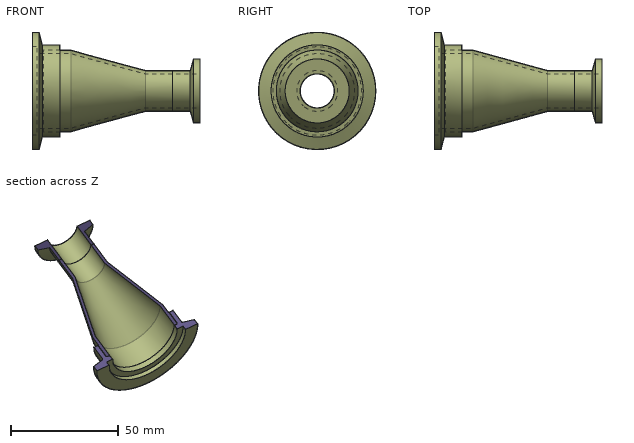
import cadquery as cq

total_length = 78.3
wall = 1.65

large_tube_radius = 19.1
small_tube_radius = 9.55
tube_start = 5.1
cone_start = 17.9
cone_end = 52.9
tube_end = 65.5
large_bore_radius = large_tube_radius - wall
small_bore_radius = small_tube_radius - wall

large_flange_radius = 27.4
large_rim_width = 3.1
collar_radius = 21.55
collar_start = 4.6
collar_end = 12.85
recess_radius = 20.7
recess_depth = 2.2

small_flange_radius = 15.0
small_rim_width = 3.05
small_taper_width = 1.6


def turn(profile):
    """Revolve a closed list of (x, radius) points about the X axis."""
    return cq.Workplane("XY").polyline(profile).close().revolve(360, (0, 0), (1, 0))


def make_large_flange():
    """Flange with a face recess, an inner lip and a socket for the tube."""
    return turn([
        (0, recess_radius),
        (0, large_flange_radius),
        (large_rim_width, large_flange_radius),
        (collar_start, collar_radius),
        (collar_end, collar_radius),
        (collar_end, large_tube_radius),
        (tube_start, large_tube_radius),
        (tube_start, large_bore_radius),
        (recess_depth, large_bore_radius),
        (recess_depth, recess_radius),
    ])


def make_reducer():
    """Conical tube of even radial wall with a straight length at each end."""
    return turn([
        (tube_start, large_bore_radius),
        (tube_start, large_tube_radius),
        (cone_start, large_tube_radius),
        (cone_end, small_tube_radius),
        (tube_end, small_tube_radius),
        (tube_end, small_bore_radius),
        (cone_end, small_bore_radius),
        (cone_start, large_bore_radius),
    ])


def make_small_flange():
    """Flange with a tapered back and a neck that meets the tube end to end."""
    rim_start = total_length - small_rim_width
    return turn([
        (tube_end, small_bore_radius),
        (tube_end, small_tube_radius),
        (rim_start - small_taper_width, small_tube_radius),
        (rim_start, small_flange_radius),
        (total_length, small_flange_radius),
        (total_length, small_bore_radius),
    ])


large_flange = make_large_flange()
reducer = make_reducer()
small_flange = make_small_flange()

result = cq.Compound.makeCompound([large_flange.val(), reducer.val(), small_flange.val()])